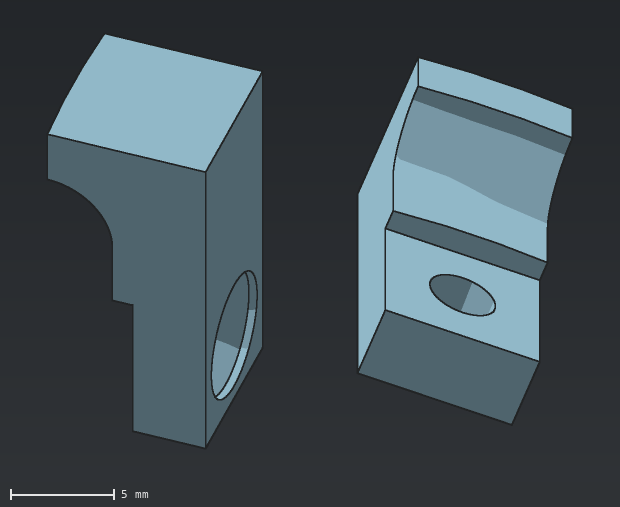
import cadquery as cq

depth = 8.3
width = 8.0
height = 17.6

plate_thickness = 3.77
plate_height = width
hole_diameter = 3.4
recess_diameter = 6.4
recess_depth = 0.42
cone_depth = (recess_diameter - hole_diameter) / 2

crown_radius = 56.32
cove_radius = 3.35
cove_top = 14.71
cove_bottom = cove_top - cove_radius
neck_depth = depth - cove_radius
axis_x = crown_radius - depth


def make_plate():
    """Flat plate with a central screw hole, recessed and countersunk from the back."""
    plate = cq.Workplane("XY").box(
        plate_thickness, width, plate_height, centered=(False, True, False)
    )
    plate = plate.translate((-plate_thickness, 0, 0))
    hole_profile = (
        cq.Workplane("XY")
        .moveTo(0, 0)
        .lineTo(0, recess_diameter / 2)
        .lineTo(-recess_depth, recess_diameter / 2)
        .lineTo(-recess_depth - cone_depth, hole_diameter / 2)
        .lineTo(-plate_thickness, hole_diameter / 2)
        .lineTo(-plate_thickness, 0)
        .close()
    )
    hole = hole_profile.revolve(360, (0, 0, 0), (1, 0, 0))
    return plate.cut(hole.translate((0, 0, plate_height / 2)))


def make_head():
    """Turned front with a quarter-round cove, trimmed to the block."""
    cove_diagonal = cove_radius * 0.5**0.5
    turned = (
        cq.Workplane("XZ")
        .moveTo(axis_x, plate_height)
        .lineTo(-neck_depth, plate_height)
        .lineTo(-neck_depth, cove_bottom)
        .threePointArc(
            (-depth + cove_diagonal, cove_bottom + cove_diagonal),
            (-depth, cove_top),
        )
        .lineTo(-depth, height)
        .lineTo(axis_x, height)
        .close()
        .revolve(360, (axis_x, 0, 0), (axis_x, 1, 0))
    )
    block = cq.Workplane("XY").box(depth, width, height, centered=(False, True, False))
    return block.translate((-depth, 0, 0)).intersect(turned)


result = make_plate().union(make_head())